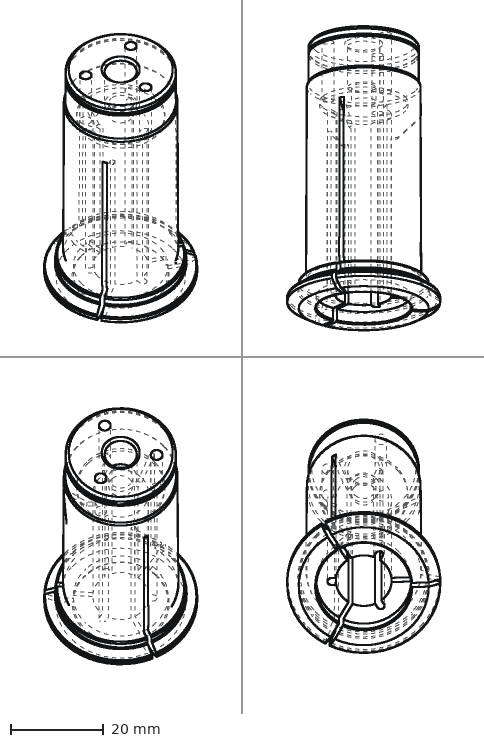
import cadquery as cq
import math

TOTAL_HEIGHT = 60.5

FLANGE_RADIUS = 33.0 / 2
COLLAR_RADIUS = 28.0 / 2
FLANGE_CONE_ANGLE = 30.0
FLANGE_UPPER_CORNER_Z = 2.62
FLANGE_BEVEL_SETBACK = 0.25
COLLAR_TOP_Z = 6.05
COLLAR_CHAMFER = 0.35

CONE_RISE = (FLANGE_RADIUS - COLLAR_RADIUS) * math.tan(math.radians(FLANGE_CONE_ANGLE))
COLLAR_FOOT_Z = FLANGE_UPPER_CORNER_Z + CONE_RISE

NECK_RADIUS = 12.3
NECK_FILLET = 0.65
NECK_TOP_Z = 7.42
NECK_CONE_Z = 7.63
NECK_CONE_RADIUS = 12.35

BODY_BOTTOM_Z = 8.0
BODY_BOTTOM_RADIUS = 24.9 / 2
BODY_TOP_Z = 50.65
BODY_TOP_RADIUS = 24.55 / 2

HEAD_RADIUS = 23.8 / 2
HEAD_BOTTOM_Z = 51.25
HEAD_TOP_RADIUS = 22.4 / 2
HEAD_CHAMFER_HEIGHT = 0.8
HEAD_GROOVE_TOP_Z = 58.55
HEAD_GROOVE_BOTTOM_Z = 58.0
HEAD_GROOVE_DEPTH = 0.2

CLAMP_BORE_RADIUS = 12.0 / 2
COUNTERBORE_RADIUS = 20.4 / 2
COUNTERBORE_MOUTH_RADIUS = 20.92 / 2
COUNTERBORE_MOUTH_DEPTH = COUNTERBORE_MOUTH_RADIUS - COUNTERBORE_RADIUS
COUNTERBORE_DEPTH = 2.85
THREAD_CORE_RADIUS = 6.92 / 2
THREAD_MOUTH_RADIUS = 8.2 / 2
THREAD_MOUTH_DEPTH = THREAD_MOUTH_RADIUS - THREAD_CORE_RADIUS
THREAD_DEPTH = 10.0
PASSAGE_RADIUS = 5.2 / 2

REPEAT_COUNT = 3
FIRST_SLOT_ANGLE = 180.0
FIRST_COOLANT_ANGLE = 0.0
SLOT_WIDTH = 1.0
SLOT_TOP_Z = 44.2
SLOT_INNER_TOP_Z = 39.2
SLOT_END_ANGLE = 45.0
COOLANT_HOLE_RADIUS = 2.5 / 2
COOLANT_CIRCLE_RADIUS = 7.75
GROOVE_WIDTH = 1.6
GROOVE_FLOOR_RADIUS = 7.8

CHAMBER_RADIUS = 9.5
CHAMBER_FLOOR_ANGLE = 30.0
CHAMBER_HEIGHT = 1.0

CLAMP_BORE_TOP_Z = SLOT_TOP_Z
CHAMBER_FLOOR_RISE = (CHAMBER_RADIUS - CLAMP_BORE_RADIUS) * math.tan(math.radians(CHAMBER_FLOOR_ANGLE))
CHAMBER_EDGE_Z = CLAMP_BORE_TOP_Z + CHAMBER_FLOOR_RISE
CHAMBER_TOP_Z = CHAMBER_EDGE_Z + CHAMBER_HEIGHT

CUT_MARGIN = 1.0


def revolve_about_z(outline):
    """Revolve a closed (radius, z) outline around the part axis."""
    return outline.close().revolve(360, (0, 0, 0), (0, 1, 0))


def repeat_angles(first_angle):
    return [first_angle + i * 360.0 / REPEAT_COUNT for i in range(REPEAT_COUNT)]


def make_blank():
    """Outer turned shape, solid inside."""
    along_cone_r = FLANGE_BEVEL_SETBACK * math.cos(math.radians(FLANGE_CONE_ANGLE))
    along_cone_z = FLANGE_BEVEL_SETBACK * math.sin(math.radians(FLANGE_CONE_ANGLE))
    groove_radius = HEAD_RADIUS - HEAD_GROOVE_DEPTH
    outline = (
        cq.Workplane("XZ")
        .moveTo(0, 0)
        .lineTo(COLLAR_RADIUS, 0)
        .lineTo(FLANGE_RADIUS, CONE_RISE)
        .lineTo(FLANGE_RADIUS, FLANGE_UPPER_CORNER_Z - FLANGE_BEVEL_SETBACK)
        .lineTo(FLANGE_RADIUS - along_cone_r, FLANGE_UPPER_CORNER_Z + along_cone_z)
        .lineTo(COLLAR_RADIUS + along_cone_r, COLLAR_FOOT_Z - along_cone_z)
        .lineTo(COLLAR_RADIUS, COLLAR_FOOT_Z + FLANGE_BEVEL_SETBACK)
        .lineTo(COLLAR_RADIUS, COLLAR_TOP_Z - COLLAR_CHAMFER)
        .lineTo(COLLAR_RADIUS - COLLAR_CHAMFER, COLLAR_TOP_Z)
        .lineTo(NECK_RADIUS + NECK_FILLET, COLLAR_TOP_Z)
        .tangentArcPoint((NECK_RADIUS, COLLAR_TOP_Z + NECK_FILLET), relative=False)
        .lineTo(NECK_RADIUS, NECK_TOP_Z)
        .lineTo(NECK_CONE_RADIUS, NECK_CONE_Z)
        .lineTo(BODY_BOTTOM_RADIUS, BODY_BOTTOM_Z)
        .lineTo(BODY_TOP_RADIUS, BODY_TOP_Z)
        .lineTo(HEAD_RADIUS, HEAD_BOTTOM_Z)
        .lineTo(HEAD_RADIUS, HEAD_GROOVE_BOTTOM_Z)
        .lineTo(groove_radius, HEAD_GROOVE_TOP_Z)
        .lineTo(HEAD_RADIUS, HEAD_GROOVE_TOP_Z)
        .lineTo(HEAD_RADIUS, TOTAL_HEIGHT - HEAD_CHAMFER_HEIGHT)
        .lineTo(HEAD_TOP_RADIUS, TOTAL_HEIGHT)
        .lineTo(0, TOTAL_HEIGHT)
    )
    return revolve_about_z(outline)


def make_axial_opening():
    """Counterbore, clamping bore, coolant chamber, passage and thread core as one cutter."""
    thread_bottom_z = TOTAL_HEIGHT - THREAD_DEPTH
    outline = (
        cq.Workplane("XZ")
        .moveTo(0, 0)
        .lineTo(COUNTERBORE_MOUTH_RADIUS, 0)
        .lineTo(COUNTERBORE_RADIUS, COUNTERBORE_MOUTH_DEPTH)
        .lineTo(COUNTERBORE_RADIUS, COUNTERBORE_DEPTH)
        .lineTo(CLAMP_BORE_RADIUS, COUNTERBORE_DEPTH)
        .lineTo(CLAMP_BORE_RADIUS, CLAMP_BORE_TOP_Z)
        .lineTo(CHAMBER_RADIUS, CHAMBER_EDGE_Z)
        .lineTo(CHAMBER_RADIUS, CHAMBER_TOP_Z)
        .lineTo(PASSAGE_RADIUS, CHAMBER_TOP_Z)
        .lineTo(PASSAGE_RADIUS, thread_bottom_z)
        .lineTo(THREAD_CORE_RADIUS, thread_bottom_z)
        .lineTo(THREAD_CORE_RADIUS, TOTAL_HEIGHT - THREAD_MOUTH_DEPTH)
        .lineTo(THREAD_MOUTH_RADIUS, TOTAL_HEIGHT)
        .lineTo(0, TOTAL_HEIGHT)
    )
    return revolve_about_z(outline)


def make_slot(angle):
    """Radial slot from bore to outside, open at the bottom, with a sloped top end."""
    inner = CLAMP_BORE_RADIUS - CUT_MARGIN
    outer = FLANGE_RADIUS + CUT_MARGIN
    height_share = (SLOT_TOP_Z - BODY_BOTTOM_Z) / (BODY_TOP_Z - BODY_BOTTOM_Z)
    runout = BODY_BOTTOM_RADIUS + height_share * (BODY_TOP_RADIUS - BODY_BOTTOM_RADIUS)
    slope_run = (SLOT_TOP_Z - SLOT_INNER_TOP_Z) / math.tan(math.radians(SLOT_END_ANGLE))
    return (
        cq.Workplane("XZ")
        .moveTo(inner, -CUT_MARGIN)
        .lineTo(outer, -CUT_MARGIN)
        .lineTo(outer, SLOT_TOP_Z)
        .lineTo(runout, SLOT_TOP_Z)
        .lineTo(runout - slope_run, SLOT_INNER_TOP_Z)
        .lineTo(inner, SLOT_INNER_TOP_Z)
        .close()
        .extrude(SLOT_WIDTH / 2, both=True)
        .rotate((0, 0, 0), (0, 0, 1), angle)
    )


def make_coolant_path(angle):
    """Hole from the top face into the chamber, and a round-floored groove below it."""
    hole = (
        cq.Workplane("XY", origin=(COOLANT_CIRCLE_RADIUS, 0, CHAMBER_EDGE_Z))
        .circle(COOLANT_HOLE_RADIUS)
        .extrude(TOTAL_HEIGHT - CHAMBER_EDGE_Z)
    )
    half_width = GROOVE_WIDTH / 2
    groove = (
        cq.Workplane("XY")
        .moveTo(0, -half_width)
        .lineTo(GROOVE_FLOOR_RADIUS - half_width, -half_width)
        .threePointArc((GROOVE_FLOOR_RADIUS, 0), (GROOVE_FLOOR_RADIUS - half_width, half_width))
        .lineTo(0, half_width)
        .close()
        .extrude(CHAMBER_EDGE_Z)
    )
    return hole.union(groove).rotate((0, 0, 0), (0, 0, 1), angle)


result = make_blank().cut(make_axial_opening())

for slot_angle in repeat_angles(FIRST_SLOT_ANGLE):
    result = result.cut(make_slot(slot_angle))

for coolant_angle in repeat_angles(FIRST_COOLANT_ANGLE):
    result = result.cut(make_coolant_path(coolant_angle))